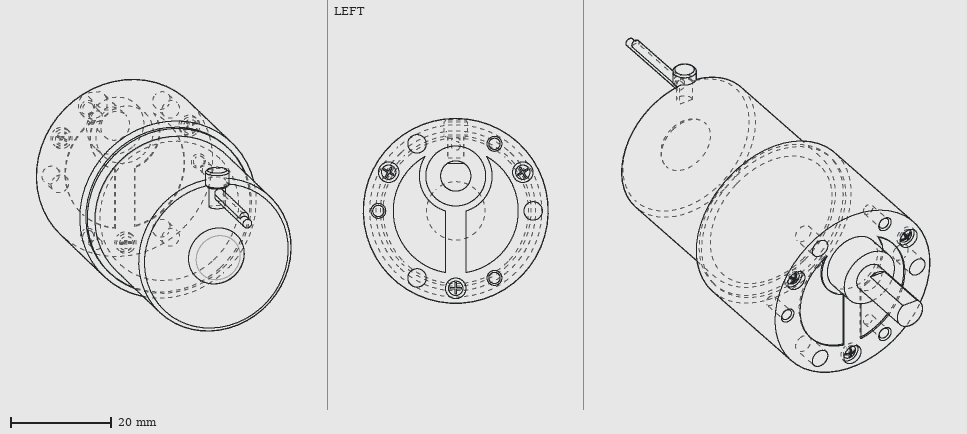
import cadquery as cq
import math

overlap = 0.5

boss_start_x = 14.9
gearbox_start_x = 21.0
gearbox_end_x = 49.8
collar_end_x = 50.7
motor_end_x = 81.9
bearing_cap_end_x = 83.1
short_wire_end_x = 100.3
long_wire_end_x = 102.5

gearbox_radius = 37.0 / 2
collar_radius = 17.2
motor_radius = 16.0
motor_front_fillet = 1.4
motor_rear_chamfer = 0.9
bearing_cap_radius = 5.8
bearing_cap_flat_radius = 4.6
bearing_cap_bulge = 0.2

shaft_offset = 7.0
shaft_radius = 6.0 / 2
shaft_flat_depth = 0.5
shaft_flat_length = 11.9
boss_radius = 12.0 / 2

pocket_depth = 0.4
pocket_radius = 12.5
pocket_boss_radius = 7.3
pocket_rib_width = 4.1

hole_circle_radius = 15.5
plain_hole_radius = 1.8
plain_hole_depth = 6.1
plain_hole_angles = (60, 180, 300)
tapped_hole_radius = 1.1
tapped_hole_chamfer = 0.36
tapped_hole_depth = 6.1
drill_tip_angle = 118
tapped_hole_angles = (0, 120, 240)
screw_recess_radius = 2.0
screw_recess_depth = 1.1
screw_head_radius = 1.4
screw_head_height = 0.6
screw_cross_length = 2.3
screw_cross_width = 0.3
screw_cross_depth = 0.5
screw_angles = (30, 150, 270)

terminal_x = 82.4
knob_radius = 2.4
knob_bottom_z = 14.8
knob_top_z = 18.1
knob_chamfer = 0.4
stem_radius = 1.6
stem_bottom_z = 10.6
wire_radius = 0.9
short_wire_z = 13.8
long_wire_z = 13.0


def rod(start_x, end_x, radius, z=0):
    """Cylinder parallel to X."""
    plane = cq.Workplane("YZ", origin=(start_x, 0, z))
    return plane.circle(radius).extrude(end_x - start_x)


def revolve_about_x(profile):
    """Solid of revolution about the X axis from a closed profile in XZ."""
    return profile.close().revolve(360, (0, 0, 0), (1, 0, 0))


def make_body():
    """Gearbox, collar and motor can as one stepped revolution."""
    fillet_middle = motor_front_fillet * (1 - math.sqrt(0.5))
    profile = (
        cq.Workplane("XZ")
        .moveTo(gearbox_start_x, 0)
        .lineTo(gearbox_start_x, gearbox_radius)
        .lineTo(gearbox_end_x, gearbox_radius)
        .lineTo(gearbox_end_x, collar_radius)
        .lineTo(collar_end_x, collar_radius)
        .lineTo(collar_end_x, motor_radius - motor_front_fillet)
        .threePointArc(
            (collar_end_x + fillet_middle, motor_radius - fillet_middle),
            (collar_end_x + motor_front_fillet, motor_radius),
        )
        .lineTo(motor_end_x - motor_rear_chamfer, motor_radius)
        .lineTo(motor_end_x, motor_radius - motor_rear_chamfer)
        .lineTo(motor_end_x, 0)
    )
    return revolve_about_x(profile)


def make_bearing_cap():
    """Low cap with a rounded rim at the centre of the motor's rear face."""
    rim_middle = (
        (motor_end_x + bearing_cap_end_x) / 2 + bearing_cap_bulge,
        (bearing_cap_radius + bearing_cap_flat_radius) / 2 + bearing_cap_bulge,
    )
    profile = (
        cq.Workplane("XZ")
        .moveTo(motor_end_x - overlap, 0)
        .lineTo(motor_end_x - overlap, bearing_cap_radius)
        .lineTo(motor_end_x, bearing_cap_radius)
        .threePointArc(rim_middle, (bearing_cap_end_x, bearing_cap_flat_radius))
        .lineTo(bearing_cap_end_x, 0)
    )
    return revolve_about_x(profile)


def make_output_shaft():
    """Shaft with a flat on top of its free end, and the boss that carries it."""
    shaft = rod(0, gearbox_start_x + overlap, shaft_radius, shaft_offset)
    flat_z = shaft_offset + shaft_radius - shaft_flat_depth
    flat_cutter = cq.Workplane("XY", origin=(0, 0, flat_z)).box(
        shaft_flat_length, 2 * shaft_radius, 2 * shaft_flat_depth, centered=(False, True, False)
    )
    boss = rod(boss_start_x, gearbox_start_x + overlap, boss_radius, shaft_offset)
    return shaft.cut(flat_cutter).union(boss)


def make_face_pocket():
    """Round pocket that leaves a ring around the boss and a rib below it."""
    floor_x = gearbox_start_x + pocket_depth
    disc = rod(gearbox_start_x, floor_x, pocket_radius)
    ring = rod(gearbox_start_x, floor_x, pocket_boss_radius, shaft_offset)
    above_ring = cq.Workplane("XY", origin=(gearbox_start_x, 0, shaft_offset)).box(
        pocket_depth, pocket_boss_radius, pocket_radius, centered=(False, True, False)
    )
    rib = cq.Workplane("XY", origin=(gearbox_start_x, 0, -pocket_radius)).box(
        pocket_depth, pocket_rib_width, pocket_radius + shaft_offset, centered=(False, True, False)
    )
    return disc.cut(ring).cut(above_ring).cut(rib)


def make_tapped_hole():
    """Chamfered hole on the X axis with a conical drill tip."""
    tip_length = tapped_hole_radius / math.tan(math.radians(drill_tip_angle / 2))
    bottom_x = gearbox_start_x + tapped_hole_depth
    profile = (
        cq.Workplane("XZ")
        .moveTo(gearbox_start_x, 0)
        .lineTo(gearbox_start_x, tapped_hole_radius + tapped_hole_chamfer)
        .lineTo(gearbox_start_x + tapped_hole_chamfer, tapped_hole_radius)
        .lineTo(bottom_x, tapped_hole_radius)
        .lineTo(bottom_x + tip_length, 0)
    )
    return revolve_about_x(profile)


def make_screw_recess():
    """Recess on the X axis, less the domed cross-slotted screw head left in it."""
    floor_x = gearbox_start_x + screw_recess_depth
    head_top_x = floor_x - screw_head_height
    recess = rod(gearbox_start_x, floor_x, screw_recess_radius)
    dome_radius = (screw_head_radius**2 + screw_head_height**2) / (2 * screw_head_height)
    dome = cq.Workplane("XY", origin=(head_top_x + dome_radius, 0, 0)).sphere(dome_radius)
    head = dome.intersect(rod(head_top_x, floor_x, screw_head_radius))
    slot = cq.Workplane("XY", origin=(head_top_x, 0, 0)).box(
        screw_cross_depth, screw_cross_length, screw_cross_width, centered=(False, True, True)
    )
    cross = slot.union(slot.rotate((0, 0, 0), (1, 0, 0), 90))
    return recess.cut(head.cut(cross))


def on_hole_circle(cutter, angles):
    """Copies of a cutter on the X axis, moved out to the hole circle."""
    moved = cutter.translate((0, hole_circle_radius, 0))
    return [moved.rotate((0, 0, 0), (1, 0, 0), angle) for angle in angles]


def make_terminal():
    """Upright stem with a chamfered knob, overlapping the motor's rear edge."""
    stem_height = knob_bottom_z - stem_bottom_z + overlap
    stem_plane = cq.Workplane("XY", origin=(terminal_x, 0, stem_bottom_z))
    stem = stem_plane.circle(stem_radius).extrude(stem_height)
    knob = (
        cq.Workplane("XY", origin=(terminal_x, 0, knob_bottom_z))
        .circle(knob_radius)
        .extrude(knob_top_z - knob_bottom_z)
        .faces("<Z or >Z")
        .chamfer(knob_chamfer)
    )
    return stem.union(knob)


def make_wires():
    """Two merged wires leading back from the terminal stem."""
    short_wire = rod(terminal_x, short_wire_end_x, wire_radius, short_wire_z)
    long_wire = rod(terminal_x, long_wire_end_x, wire_radius, long_wire_z)
    return short_wire.union(long_wire)


plain_hole = rod(gearbox_start_x, gearbox_start_x + plain_hole_depth, plain_hole_radius)
face_cutters = [
    make_face_pocket(),
    *on_hole_circle(plain_hole, plain_hole_angles),
    *on_hole_circle(make_tapped_hole(), tapped_hole_angles),
    *on_hole_circle(make_screw_recess(), screw_angles),
]

result = make_body()
for cutter in face_cutters:
    result = result.cut(cutter)
for piece in (make_bearing_cap(), make_output_shaft(), make_terminal(), make_wires()):
    result = result.union(piece)